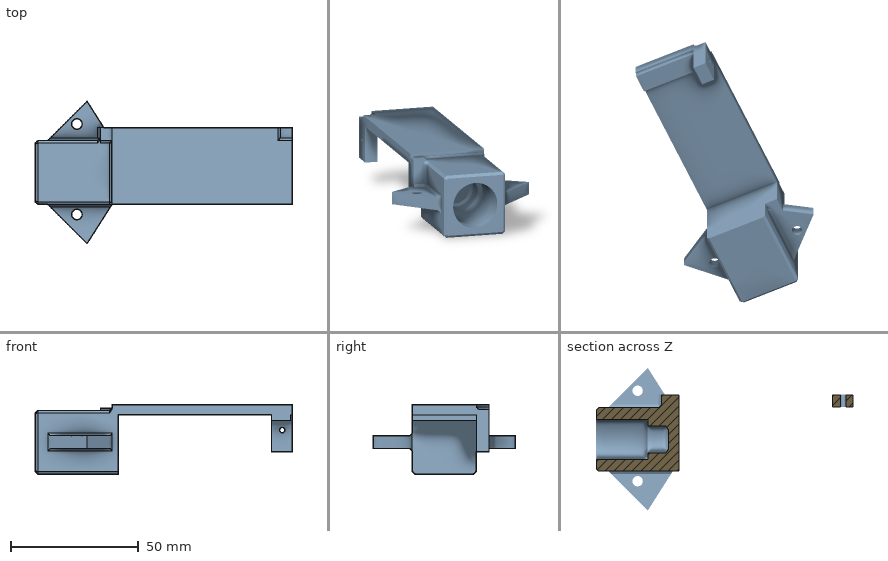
import cadquery as cq

total_length = 100.5
blend = 1.0

block_length = 32.5
block_side = 25.0

plate_start = 30.0
plate_width = 30.0
plate_top = 27.2
plate_thickness = 4.0
plate_bottom = plate_top - plate_thickness

rail_start = 25.4
rail_rise = 0.8
rail_top = block_side + rail_rise

leg_start = 92.4
leg_bottom = 8.7
leg_hole = 2.0
leg_hole_x = 96.6
leg_hole_z = 17.3
rib_end = 99.8
rib_bottom = 21.0

notch_start = 94.9
notch_depth = 1.9

ear_bottom = 10.0
ear_top = 15.1
ear_start = 4.9
ear_end = 30.0
ear_tip_x = 20.3
ear_reach = 15.33
ear_hole = 4.0
ear_hole_x = 16.3
ear_hole_front_y = -3.9
ear_hole_back_y = 31.5

mouth_diameter = 18.0
mouth_depth = 20.1
bore_diameter = 14.1
bore_depth = 28.1


def box(x, y, z):
    """Box from (low, high) limits along each axis."""
    return (
        cq.Workplane("XY")
        .box(x[1] - x[0], y[1] - y[0], z[1] - z[0], centered=False)
        .translate((x[0], y[0], z[0]))
    )


def slope(plane, corner, leg_a, leg_b, start, end):
    """Triangular strip with its right angle at corner, swept from start to end.

    The legs are signed lengths along the plane's two axes.
    """
    a, b = corner
    return (
        cq.Workplane(plane)
        .workplane(offset=start)
        .polyline([(a, b), (a + leg_a, b), (a, b + leg_b)])
        .close()
        .extrude(end - start)
    )


def block():
    body = box((0, block_length), (0, block_side), (0, block_side))
    return body.edges("|X").chamfer(blend).faces("<X").edges().chamfer(blend)


def ear(side_y, outward):
    """Triangular ear on a block side, with sloped strips above and below its root."""
    def prism(low, high):
        corners = [(ear_start, side_y), (ear_tip_x, side_y + outward * ear_reach), (ear_end, side_y)]
        return cq.Workplane("XY").workplane(offset=low).polyline(corners).close().extrude(high - low)

    upper = slope("YZ", (side_y, ear_top), outward * blend, blend, ear_start, ear_end)
    lower = slope("YZ", (side_y, ear_bottom), outward * blend, -blend, ear_start, ear_end)
    root = prism(ear_bottom - blend, ear_top + blend).intersect(upper.union(lower))
    return prism(ear_bottom, ear_top).union(root)


def collar(end_x, y_limits, z_limits):
    """Slope that flares the block outline out to a face at end_x, kept within the limits."""
    start_x = end_x - blend
    flare = (
        cq.Workplane("YZ", origin=(start_x, block_side / 2, block_side / 2))
        .sketch()
        .rect(block_side, block_side)
        .vertices()
        .chamfer(blend)
        .finalize()
        .extrude(blend, taper=-45)
    )
    return flare.intersect(box((start_x, end_x), y_limits, z_limits))


def rail():
    """Upright beside the block, with slopes down to the block and the ear."""
    body = box((rail_start, block_length), (block_side, plate_width), (ear_bottom, rail_top))
    over_block = slope("YZ", (block_side, block_side), -blend, rail_rise, rail_start, block_length)
    inner_edge = block_side - blend
    edge_fill = box((rail_start, block_length), (inner_edge, block_side), (inner_edge, block_side))
    on_side = collar(rail_start, (inner_edge, plate_width), (ear_top, block_side))
    on_ear = slope("XZ", (rail_start, ear_top), -blend, blend, -plate_width, -block_side)
    return body.union(over_block).union(edge_fill).union(on_side).union(on_ear)


def plate():
    body = box((plate_start, total_length), (0, plate_width), (plate_bottom, plate_top))
    on_block = collar(plate_start, (0, block_side), (block_side - blend, rail_top))
    return body.union(on_block)


def end_leg():
    """Cross rib under the plate end and a leg hanging at its back corner."""
    rib = box((leg_start, rib_end), (0, plate_width), (rib_bottom, plate_bottom))
    leg = box((leg_start, total_length), (block_side, plate_width), (leg_bottom, plate_bottom))
    hole = (
        cq.Workplane("XZ", origin=(leg_hole_x, plate_width, leg_hole_z))
        .circle(leg_hole / 2)
        .extrude(plate_width - block_side)
    )
    return rib.union(leg).cut(hole)


def corner_notch():
    """Recess in the plate's back corner with sloped inside corners along its floor."""
    floor = plate_top - notch_depth
    pocket = box((notch_start, total_length), (block_side, plate_width), (floor, plate_top))
    start_slope = slope("XZ", (notch_start, floor), blend, blend, -plate_width, -block_side)
    side_slope = slope("YZ", (block_side, floor), blend, blend, notch_start, total_length)
    return pocket.cut(start_slope).cut(side_slope)


def bore():
    """Stepped blind bore whose floor edge is sloped."""
    center = block_side / 2
    mouth = cq.Workplane("YZ", origin=(0, center, center)).circle(mouth_diameter / 2).extrude(mouth_depth)
    inner = cq.Workplane("YZ", origin=(0, center, center)).circle(bore_diameter / 2).extrude(bore_depth)
    return mouth.union(inner.faces(">X").chamfer(blend))


def ear_holes():
    centers = [(ear_hole_x, ear_hole_front_y), (ear_hole_x, ear_hole_back_y)]
    return (
        cq.Workplane("XY")
        .workplane(offset=ear_bottom - blend)
        .pushPoints(centers)
        .circle(ear_hole / 2)
        .extrude(ear_top - ear_bottom + 2 * blend)
    )


result = block()
for addition in (ear(0, -1), ear(block_side, 1), rail(), plate(), end_leg()):
    result = result.union(addition)
for removal in (corner_notch(), bore(), ear_holes()):
    result = result.cut(removal)